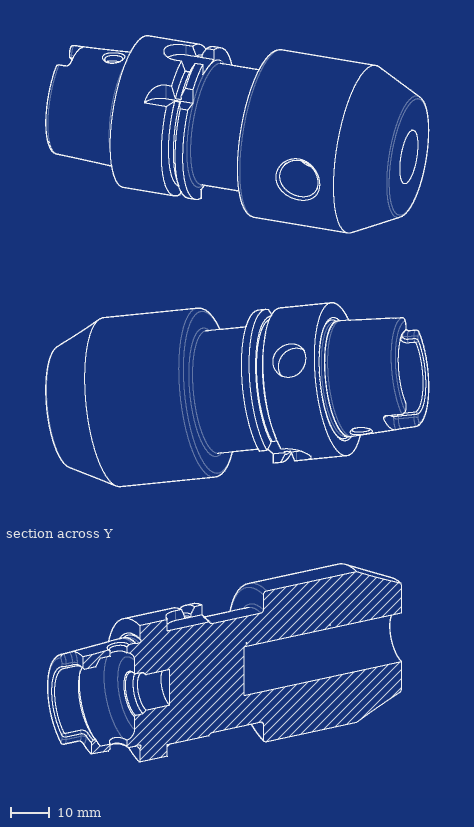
import cadquery as cq
import math

total_length = 94.9
shank_cone_end = 17.9
shank_land_end = 18.8
flange_start = 19.9
groove_start = 34.0
groove_floor_start = 35.0
groove_floor_end = 36.6
groove_end = 37.8
flange_end = 39.9
chuck_start = 55.3
nose_start = 82.0

shank_end_radius = 14.2
shank_radius = 15.1
relief_radius = 14.9
flange_radius = 19.9
groove_radius = 17.3
groove_shoulder_radius = 18.0
neck_radius = 15.9
chuck_radius = 22.0
nose_end_radius = 15.8

shank_end_round = 0.9
neck_round = 0.8
chuck_round = 0.95
nose_round = 0.8

recess_radius = 16.0
recess_depth = 0.4
undercut_round = 0.6
recess_floor = flange_start + recess_depth

mouth_chamfer = 0.6
bore_radius = 10.5
bore_lip_end = 7.4
cavity_radius = 12.7
cavity_taper = 60
cavity_floor = 18.4
cavity_floor_round = 2.7

coolant_mouth_radius = 6.3
coolant_radius = 6.0
coolant_inner_radius = 5.1
coolant_step = 20.9
coolant_end = 28.5

drive_half_width = 4.1
drive_shoulder_height = 13.2
drive_shoulder_round = 2.2
drive_floor_round = 0.95
upper_drive_depth = 3.6
lower_drive_depth = 6.1

access_x = 13.9
access_diameter = 4.65
access_chamfer = 0.6

keyway_start = 27.9
keyway_floor = 16.6
upper_keyway_width = 8.6
lower_keyway_width = 11.0
notch_offset = 12.0
notch_round = 4.6
chip_x = 26.8
chip_diameter = 9.0
chip_depth = 4.5

tool_bore_diameter = 14.0
tool_bore_depth = 45.0
screw_x = 72.2
screw_diameter = 10.5
screw_chamfer = 0.8


def revolve_x(profile):
    """Revolve a closed profile drawn as (x, radius) about the X axis."""
    return profile.close().revolve(360, (0, 0, 0), (1, 0, 0))


def shank_blank():
    """Tapered shank with a rounded end and an undercut at the flange."""
    shank_slope = (shank_radius - shank_end_radius) / shank_cone_end
    round_end_radius = shank_end_radius + shank_slope * shank_end_round
    return revolve_x(
        cq.Workplane("XY")
        .lineTo(0, round_end_radius - shank_end_round)
        .radiusArc((shank_end_round, round_end_radius), shank_end_round)
        .lineTo(shank_cone_end, shank_radius)
        .lineTo(shank_land_end, shank_radius)
        .lineTo(shank_land_end, relief_radius)
        .lineTo(recess_floor - undercut_round, relief_radius)
        .radiusArc((recess_floor, relief_radius + undercut_round), -undercut_round)
        .lineTo(recess_floor, 0)
    )


def drive_slot(depth):
    """Slot on the +Z side of the shank end, widening over rounded shoulders."""
    shoulder_start = drive_shoulder_height - drive_shoulder_round
    shoulder_edge = drive_half_width + drive_shoulder_round
    outside = 2 * shank_radius
    return (
        cq.Workplane("YZ")
        .moveTo(-drive_half_width, 0)
        .lineTo(drive_half_width, 0)
        .lineTo(drive_half_width, shoulder_start)
        .radiusArc((shoulder_edge, drive_shoulder_height), drive_shoulder_round)
        .lineTo(outside, drive_shoulder_height)
        .lineTo(outside, outside)
        .lineTo(-outside, outside)
        .lineTo(-outside, drive_shoulder_height)
        .lineTo(-shoulder_edge, drive_shoulder_height)
        .radiusArc((-drive_half_width, shoulder_start), drive_shoulder_round)
        .close()
        .extrude(depth)
        .faces(">X").edges().fillet(drive_floor_round)
    )


def slotted_shank():
    """Shank blank with both drive slots, their edges rounded at the end face."""
    half_block = 1.5 * shank_radius
    block = cq.Workplane("YZ").rect(2 * half_block, 2 * half_block).extrude(recess_floor)
    block = block.cut(drive_slot(upper_drive_depth))
    block = block.cut(drive_slot(lower_drive_depth).mirror("XY"))
    slot_edges = cq.selectors.BoxSelector((-0.95, -half_block, -half_block), (0.95, half_block, half_block))
    block = block.faces("<X").edges(slot_edges).fillet(shank_end_round)
    return shank_blank().intersect(block)


def flange_neck_and_chuck():
    """Everything from the flange face to the nose, turned as one profile."""
    return revolve_x(
        cq.Workplane("XY")
        .moveTo(recess_floor, 0)
        .lineTo(recess_floor, relief_radius + undercut_round)
        .lineTo(flange_start, recess_radius)
        .lineTo(flange_start, flange_radius)
        .lineTo(groove_start, flange_radius)
        .lineTo(groove_floor_start, groove_radius)
        .lineTo(groove_floor_end, groove_radius)
        .lineTo(groove_floor_end, groove_shoulder_radius)
        .lineTo(groove_end, flange_radius)
        .lineTo(flange_end, flange_radius)
        .lineTo(flange_end, neck_radius + neck_round)
        .radiusArc((flange_end + neck_round, neck_radius), -neck_round)
        .lineTo(chuck_start - neck_round, neck_radius)
        .radiusArc((chuck_start, neck_radius + neck_round), -neck_round)
        .lineTo(chuck_start, chuck_radius - chuck_round)
        .radiusArc((chuck_start + chuck_round, chuck_radius), chuck_round)
        .lineTo(nose_start, chuck_radius)
        .lineTo(total_length, nose_end_radius)
        .lineTo(total_length, 0)
    ).faces(">X").edges().fillet(nose_round)


def shank_cavity():
    """Bore lip, wider cavity with a rounded floor, and the coolant hole."""
    taper_length = (cavity_radius - bore_radius) / math.tan(math.radians(cavity_taper))
    coolant_chamfer = coolant_mouth_radius - coolant_radius
    coolant_cone = coolant_radius - coolant_inner_radius
    return revolve_x(
        cq.Workplane("XY")
        .lineTo(0, bore_radius)
        .lineTo(bore_lip_end, bore_radius)
        .lineTo(bore_lip_end + taper_length, cavity_radius)
        .lineTo(cavity_floor - cavity_floor_round, cavity_radius)
        .radiusArc((cavity_floor, cavity_radius - cavity_floor_round), cavity_floor_round)
        .lineTo(cavity_floor, coolant_mouth_radius)
        .lineTo(cavity_floor + coolant_chamfer, coolant_radius)
        .lineTo(coolant_step, coolant_radius)
        .lineTo(coolant_step + coolant_cone, coolant_inner_radius)
        .lineTo(coolant_end, coolant_inner_radius)
        .lineTo(coolant_end, 0)
    )


def cut_chamfered_hole(body, x, surface_radius, diameter, chamfer):
    """Drill from +Z down to the axis and chamfer the hole edge on the turned surface."""
    drill = cq.Workplane("XY", origin=(x, 0, 0)).circle(diameter / 2).extrude(2 * surface_radius)
    body = body.cut(drill)
    reach = diameter / 2 + chamfer
    hole_edge = cq.selectors.BoxSelector(
        (x - reach, -reach, surface_radius / 2), (x + reach, reach, 2 * surface_radius))
    return body.edges(hole_edge).edges("not %LINE").chamfer(chamfer)


def turned_about_x(body, angle):
    return body.rotate((0, 0, 0), (1, 0, 0), angle)


def keyway(width):
    """Round-ended keyway on the +Z side of the flange, open towards the neck."""
    center_x = keyway_start + width / 2
    floor = cq.Workplane("XY", origin=(0, 0, keyway_floor))
    rounded_end = floor.center(center_x, 0).circle(width / 2).extrude(flange_radius)
    straight = floor.center((center_x + flange_end) / 2, 0)
    straight = straight.rect(flange_end - center_x, width).extrude(flange_radius)
    return rounded_end.union(straight)


def corner_notch():
    """L-shaped notch at the -Y, +Z corner of the flange with a round inner corner."""
    outer = notch_offset + flange_radius
    return (
        cq.Workplane("XY", origin=(0, 0, notch_offset))
        .moveTo(flange_end, -notch_offset)
        .lineTo(keyway_start + notch_round, -notch_offset)
        .radiusArc((keyway_start, -notch_offset - notch_round), -notch_round)
        .lineTo(keyway_start, -outer)
        .lineTo(flange_end, -outer)
        .close()
        .extrude(flange_radius)
    )


def chip_hole():
    """Blind round pocket on the +Y side of the flange."""
    floor_y = flange_radius - chip_depth
    floor = cq.Workplane("XZ", origin=(chip_x, floor_y, 0))
    return floor.circle(chip_diameter / 2).extrude(-2 * chip_depth)


def tool_bore():
    """Blind bore into the nose along the axis."""
    start = total_length - tool_bore_depth
    return cq.Workplane("YZ", origin=(start, 0, 0)).circle(tool_bore_diameter / 2).extrude(tool_bore_depth)


result = slotted_shank().union(flange_neck_and_chuck())

for _ in range(2):
    result = cut_chamfered_hole(result, access_x, shank_radius, access_diameter, access_chamfer)
    result = turned_about_x(result, 180)

result = turned_about_x(result, -90)
result = cut_chamfered_hole(result, screw_x, chuck_radius, screw_diameter, screw_chamfer)
result = turned_about_x(result, 90)

result = result.cut(shank_cavity())
bore_lip = result.faces(cq.selectors.NearestToPointSelector((bore_lip_end / 2, 0, 0)))
result = bore_lip.edges("not(>X)").chamfer(mouth_chamfer)

result = result.cut(keyway(upper_keyway_width))
result = result.cut(keyway(lower_keyway_width).mirror("XY"))
result = result.cut(corner_notch())
result = result.cut(chip_hole())
result = result.cut(tool_bore())